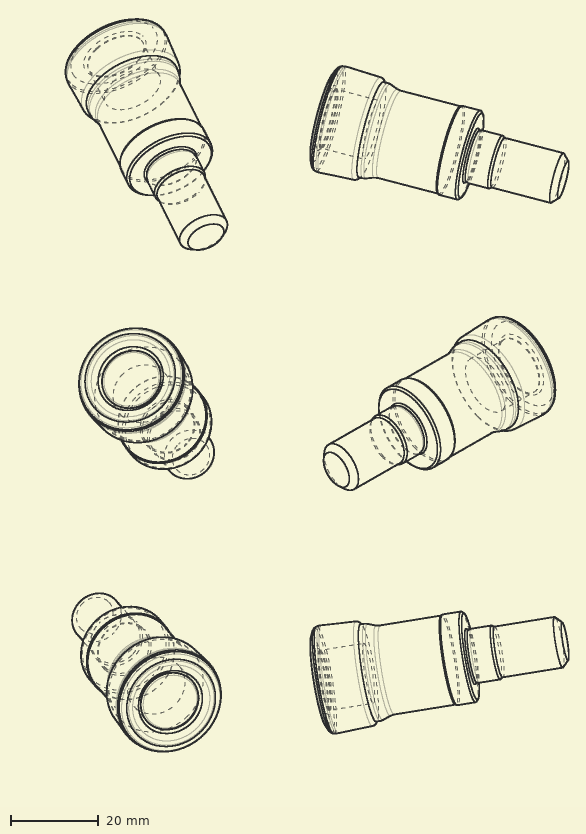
import cadquery as cq

overall_length = 57.1

cap_length = 11.35
cap_radius = 24.95 / 2
cap_peak_x = 1.95
cap_taper_start_x = 2.4
cap_front_edge_radius = 10.6
cap_front_cone_x = 0.5
cap_front_cone_radius = 11.75
cap_shoulder_mid_x = 0.85
cap_shoulder_mid_radius = 12.15
cap_shoulder_end_x = 1.3
cap_shoulder_end_radius = 12.4
cap_taper_end_x = 10.35
cap_taper_end_radius = 12.1
cap_rear_mid_x = 11.0
cap_rear_mid_radius = 11.8

mouth_edge_radius = 10.2
mouth_outer_radius = 9.25
mouth_outer_x = 0.1
mouth_inner_radius = 7.65
mouth_inner_x = 0.5
mouth_throat_x = 1.25

spigot_radius = 6.9
spigot_face_x = 0.9
spigot_chamfer_width = 0.45
spigot_chamfer_length = 0.1
shoulder_radius = 22.5 / 2
barrel_radius = 20.6 / 2
flare_start_x = 12.3
flare_cone_start_x = 12.9
flare_cone_start_radius = 11.15
flare_cone_end_x = 14.7
flare_cone_end_radius = 10.45
flare_end_x = 15.7
collar_radius = 21.0 / 2
collar_start_x = 29.95
collar_front_chamfer_length = 0.35
collar_end_x = 35.1
collar_rear_chamfer = 0.5
root_radius = 6.45
relief_x = 35.55
relief_radius = 6.05
seat_start_x = 36.2
seat_radius = 12.5 / 2
seat_end_x = 41.0
shank_start_x = 41.6
shank_radius = 11.75 / 2
tip_chamfer = 1.5


def turn(profile):
    """Revolve a closed profile of (x, radius) points about the X axis."""
    return profile.close().revolve(360, (0, 0, 0), (1, 0, 0))


def make_cap():
    profile = (
        cq.Workplane("XY")
        .moveTo(cap_length, spigot_radius)
        .lineTo(mouth_throat_x, spigot_radius)
        .lineTo(mouth_inner_x, mouth_inner_radius)
        .lineTo(mouth_outer_x, mouth_outer_radius)
        .lineTo(0, mouth_edge_radius)
        .lineTo(0, cap_front_edge_radius)
        .lineTo(cap_front_cone_x, cap_front_cone_radius)
        .lineTo(cap_shoulder_mid_x, cap_shoulder_mid_radius)
        .lineTo(cap_shoulder_end_x, cap_shoulder_end_radius)
        .lineTo(cap_peak_x, cap_radius)
        .lineTo(cap_taper_start_x, cap_radius)
        .lineTo(cap_taper_end_x, cap_taper_end_radius)
        .threePointArc((cap_rear_mid_x, cap_rear_mid_radius), (cap_length, shoulder_radius))
    )
    return turn(profile)


def make_body():
    profile = (
        cq.Workplane("XY")
        .moveTo(spigot_face_x, 0)
        .lineTo(spigot_face_x, spigot_radius - spigot_chamfer_width)
        .lineTo(spigot_face_x + spigot_chamfer_length, spigot_radius)
        .lineTo(cap_length, spigot_radius)
        .lineTo(cap_length, shoulder_radius)
        .lineTo(flare_start_x, shoulder_radius)
        .lineTo(flare_cone_start_x, flare_cone_start_radius)
        .lineTo(flare_cone_end_x, flare_cone_end_radius)
        .lineTo(flare_end_x, barrel_radius)
        .lineTo(collar_start_x, barrel_radius)
        .lineTo(collar_start_x + collar_front_chamfer_length, collar_radius)
        .lineTo(collar_end_x - collar_rear_chamfer, collar_radius)
        .lineTo(collar_end_x, collar_radius - collar_rear_chamfer)
        .lineTo(collar_end_x, root_radius)
        .lineTo(relief_x, relief_radius)
        .lineTo(seat_start_x, seat_radius)
        .lineTo(seat_end_x, seat_radius)
        .lineTo(shank_start_x, shank_radius)
        .lineTo(overall_length - tip_chamfer, shank_radius)
        .lineTo(overall_length, shank_radius - tip_chamfer)
        .lineTo(overall_length, 0)
    )
    return turn(profile)


cap = make_cap()
body = make_body()
result = cq.Compound.makeCompound([cap.val(), body.val()])